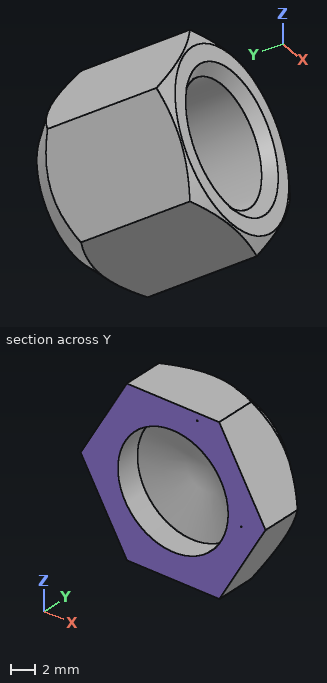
import cadquery as cq
import math

corner_diameter = 19.63
length = 15.0
corner_radius = corner_diameter / 2

front_face_radius = 8.35
front_chamfer_angle = 30.0
back_face_radius = 6.48
back_chamfer_angle = 45.0

bore_radius = 5.81
mouth_radius = 6.8
mouth_depth = mouth_radius - bore_radius
bore_depth = 10.01
drill_point_angle = 135.0


def revolve_about_y(points):
    """Turn a closed (radius, y) profile around the Y axis."""
    return cq.Workplane("XY").polyline(points).close().revolve(360, (0, 0, 0), (0, 1, 0))


def hexagonal_prism():
    """Hexagon with two corners on the X axis, extruded from y = 0 toward +Y."""
    return cq.Workplane("XZ").polygon(6, corner_diameter).extrude(-length)


def chamfer_envelope():
    """Turned blank whose conical ends trim the hexagon corners."""
    front_height = (corner_radius - front_face_radius) * math.tan(math.radians(front_chamfer_angle))
    back_height = (corner_radius - back_face_radius) * math.tan(math.radians(back_chamfer_angle))
    return revolve_about_y([
        (0, 0),
        (front_face_radius, 0),
        (corner_radius, front_height),
        (corner_radius, length - back_height),
        (back_face_radius, length),
        (0, length),
    ])


def blind_bore():
    """Countersink, straight wall and drill point as one cutting body."""
    point_depth = bore_radius / math.tan(math.radians(drill_point_angle / 2))
    return revolve_about_y([
        (0, 0),
        (mouth_radius, 0),
        (bore_radius, mouth_depth),
        (bore_radius, bore_depth),
        (0, bore_depth + point_depth),
    ])


result = hexagonal_prism().intersect(chamfer_envelope()).cut(blind_bore())